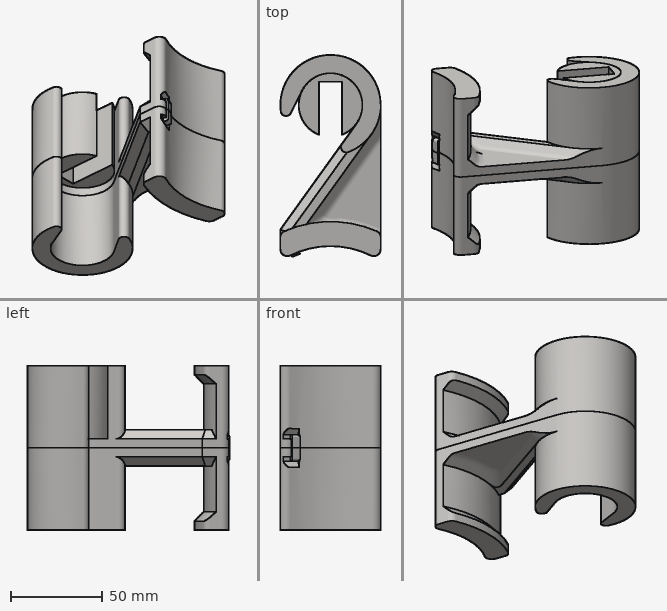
import cadquery as cq
import math

clamp_length = 90.0
half_length = clamp_length / 2

hook_radius = 27.5
bore_radius = 17.4
tip_fillet = 3.0
lip_angle = math.radians(153.5)

slot_width = 12.5
slot_end_y = 12.7

pad_axis_y = -127.2
pad_front_radius = 50.0
pad_back_radius = 63.5
pad_recess_depth = 5.1
pad_recess_radius = pad_back_radius - pad_recess_depth
pad_flange_height = 5.0
pad_fillet = 3.9

web_half_thickness = 5.0
rib_rise = 5.0
rib_half_height = web_half_thickness + rib_rise
rib_inner_edge = 9.9
rib_corner_y = -68.1
root_fillet = 5.0

key_angle = 22.6
key_width = 4.6
key_half_length = 7.2
key_proud = 1.2
key_end_fillet = 1.4
recess_depth = 1.8
recess_half_length = 10.5
island_half_height = 5.0

pad_edge_y = pad_axis_y + math.sqrt(pad_recess_radius**2 - hook_radius**2)

corner_distance = math.hypot(hook_radius, rib_corner_y)
rib_face_length = math.sqrt(corner_distance**2 - bore_radius**2)
rib_angle = math.atan2(rib_corner_y, -hook_radius) + math.acos(bore_radius / corner_distance)
rib_normal = (math.cos(rib_angle), math.sin(rib_angle))
rib_direction = (rib_normal[1], -rib_normal[0])
rib_tangent_point = (bore_radius * rib_normal[0], bore_radius * rib_normal[1])


def disc(radius, height, center_y=0):
    return cq.Workplane("XY").center(0, center_y).circle(radius).extrude(height)


def vertical_edge_at(body, x, y):
    """The vertical edge nearest to the given place."""
    return body.edges("|Z").edges(cq.selectors.NearestToPointSelector((x, y, half_length / 2)))


def polar(radius, angle):
    return (radius * math.cos(angle), radius * math.sin(angle))


def make_hook():
    """Annulus opened between two faces tangent to the bore, with rounded tips."""
    tip_spread = math.acos(bore_radius / hook_radius)
    lip_tip = polar(hook_radius, lip_angle + tip_spread)
    rib_tip = polar(hook_radius, rib_angle - tip_spread)
    middle_angle = (lip_angle + rib_angle) / 2

    hook = (
        cq.Workplane("XY")
        .moveTo(*lip_tip)
        .lineTo(*polar(bore_radius, lip_angle))
        .threePointArc(polar(bore_radius, middle_angle), rib_tangent_point)
        .lineTo(*rib_tip)
        .threePointArc(polar(hook_radius, middle_angle), lip_tip)
        .close()
        .extrude(half_length)
    )
    for tip in (lip_tip, rib_tip):
        hook = vertical_edge_at(hook, *tip).fillet(tip_fillet)
    return hook


def revolve_about(axis_y, points):
    """Full revolution of a radius-height polygon about a vertical axis at X = 0."""
    profile = cq.Workplane("XZ", origin=(0, axis_y, 0)).polyline(points).close()
    return profile.revolve(360, (0, 0, 0), (0, 1, 0))


def make_pad():
    """Arched pad, thinner in the middle and with a full-depth flange at its end."""
    band = disc(pad_back_radius, half_length, pad_axis_y).cut(
        disc(pad_front_radius, half_length, pad_axis_y)
    )
    slab = (
        cq.Workplane("XY")
        .center(0, pad_axis_y + pad_back_radius / 2)
        .rect(2 * hook_radius, pad_back_radius)
        .extrude(half_length)
    )
    pad = band.intersect(slab)
    for radius in (pad_front_radius, pad_back_radius):
        corner_y = pad_axis_y + math.sqrt(radius**2 - hook_radius**2)
        for side in (-1, 1):
            pad = vertical_edge_at(pad, side * hook_radius, corner_y).fillet(pad_fillet)

    flange_z = half_length - pad_flange_height
    recess_outer = pad_back_radius + pad_recess_depth
    recess = revolve_about(
        pad_axis_y,
        [
            (pad_recess_radius, 0),
            (pad_recess_radius, flange_z - pad_recess_depth),
            (recess_outer, flange_z + pad_recess_depth),
            (recess_outer, 0),
        ],
    )
    return pad.cut(recess)


def rib_plane(distance):
    """Plane across the rib, with X into the rib and Y up, at a distance down from the bore."""
    origin = tuple(p + distance * d for p, d in zip(rib_tangent_point, rib_direction))
    return cq.Workplane(
        cq.Plane(origin=(*origin, 0), xDir=(*rib_normal, 0), normal=(*rib_direction, 0))
    )


def cone(radius, axis_y):
    """45-degree cone that reaches the given radius at the rib's height, down to the web."""
    solid = cq.Solid.makeCone(
        radius + rib_rise, radius, rib_rise, pnt=cq.Vector(0, axis_y, web_half_thickness)
    )
    return cq.Workplane(solid)


def make_web_pocket():
    """Hollow beside the rib: 45-degree walls along rib, hook and pad, all with filleted roots."""
    length = -pad_edge_y
    block = (
        cq.Workplane("XY", origin=(0, -length / 2, web_half_thickness))
        .rect(2 * hook_radius, length)
        .extrude(rib_rise)
    )
    beside_rib = (
        rib_plane(0)
        .polyline(
            [
                (-length, 0),
                (-length, rib_half_height),
                (rib_inner_edge, rib_half_height),
                (rib_inner_edge + rib_half_height, 0),
            ]
        )
        .close()
        .extrude(2 * rib_face_length)
    )
    pocket = block.cut(beside_rib).cut(cone(hook_radius, 0)).cut(cone(pad_recess_radius, pad_axis_y))
    pocket = cq.Workplane(pocket.solids(">X").val())
    return pocket.edges("(<Z and (not >X)) or %PARABOLA").fillet(root_fillet)


def edge_chamfer(plane):
    """Wedge that bevels the upper edge of the face that passes through the plane's origin."""
    corner = [
        (0, web_half_thickness),
        (rib_rise, rib_half_height),
        (0, rib_half_height),
    ]
    return plane.polyline(corner).close().extrude(2 * rib_face_length, both=True)


def web_prism():
    """Web outline, between the bore, the rib's outer face, the pad and the clamp's sides."""
    outline = [
        rib_tangent_point,
        (-hook_radius, rib_corner_y),
        (-hook_radius, pad_edge_y),
        (hook_radius, pad_edge_y),
        (hook_radius, 0),
    ]
    return cq.Workplane("XY").polyline(outline).close().extrude(rib_half_height)


def make_web():
    """Web, rib and their sloped joints, with the rib's outer edge and left side bevelled."""
    web = web_prism().cut(make_web_pocket())
    side_plane = cq.Workplane("XZ", origin=(-hook_radius, 0, 0))
    return web.cut(edge_chamfer(rib_plane(0))).cut(edge_chamfer(side_plane))


def key_block(u_start, u_end, depth_start, depth_end, height):
    """Box in the key's tilted frame, sized across, into the pad's face and up from Z = 0."""
    return (
        cq.Workplane("XY")
        .moveTo(u_start, pad_front_radius + depth_start)
        .lineTo(u_end, pad_front_radius + depth_start)
        .lineTo(u_end, pad_front_radius + depth_end)
        .lineTo(u_start, pad_front_radius + depth_end)
        .close()
        .extrude(height)
    )


def place_on_pad(body):
    return body.rotate((0, 0, 0), (0, 0, 1), key_angle).translate((0, pad_axis_y, 0))


def make_key_recess():
    """Recess with a sloped end, open to the pad's corner, around an island beside the key."""
    end_slope = (recess_half_length - key_half_length) / recess_depth
    mouth_radius = pad_front_radius - key_proud
    floor_radius = pad_front_radius + recess_depth
    length = 4 * key_width
    recess = (
        cq.Workplane("YZ", origin=(key_width / 2, 0, 0))
        .polyline(
            [
                (mouth_radius, 0),
                (floor_radius, 0),
                (floor_radius, key_half_length),
                (mouth_radius, recess_half_length + end_slope * key_proud),
            ]
        )
        .close()
        .extrude(-length)
    )
    island = key_block(-length, -key_width / 2, -key_proud, recess_depth, island_half_height)
    return place_on_pad(recess.cut(island))


def make_key_half():
    """Half of the key: a bar that stands proud of the pad, with a rounded outer end."""
    bar = key_block(-key_width / 2, key_width / 2, -key_proud, recess_depth, key_half_length)
    return place_on_pad(bar.faces(">Z").edges("<Y").fillet(key_end_fillet))


def make_clamp_half():
    return make_hook().union(make_web()).union(make_pad()).cut(make_key_recess())


def make_plug():
    """Slotted cylinder that fills the hook's bore above the web's upper face."""
    length = half_length - web_half_thickness
    slot_length = slot_end_y + bore_radius
    slot = (
        cq.Workplane("XY")
        .center(0, slot_end_y - slot_length / 2)
        .rect(slot_width, slot_length)
        .extrude(length)
    )
    return disc(bore_radius, length).cut(slot).translate((0, 0, web_half_thickness))


upper_clamp = make_clamp_half()
lower_clamp = upper_clamp.mirror("XY")
upper_key = make_key_half()
lower_key = upper_key.mirror("XY")
plug = make_plug()

result = cq.Compound.makeCompound(
    [upper_clamp.val(), lower_clamp.val(), upper_key.val(), lower_key.val(), plug.val()]
)